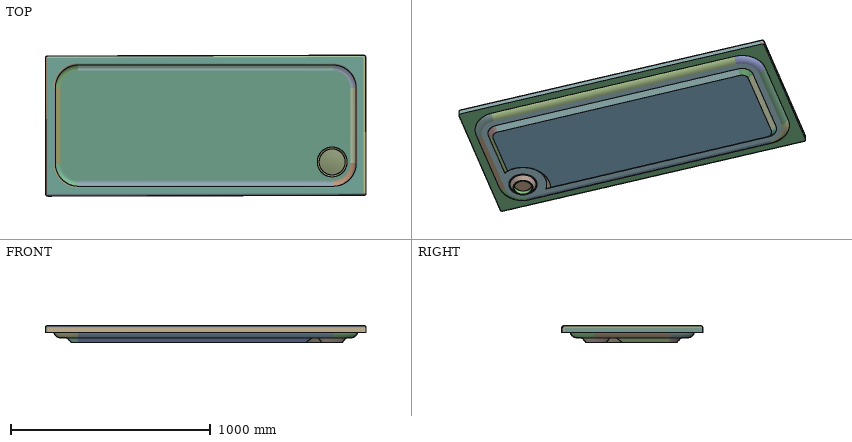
import cadquery as cq
import math

overall_length = 1605.0
overall_width = 707.0
overall_height = 85.0

rim_skew = 0.15
rim_height = 35.0
rim_edge_radius = 11.0
rim_bottom = overall_height - rim_height

opening_length = 1525.0
opening_width = 626.0
opening_corner_radius = 125.0
lip_radius = 10.0
wall_height = 16.0
cove_radius = 27.0
floor_level = overall_height - lip_radius - wall_height - cove_radius

shell_thickness = 8.0
bulge_inset = lip_radius - shell_thickness
bulge_radius = cove_radius + shell_thickness
bulge_bottom = floor_level - shell_thickness
foot_top_inset = 67.0
foot_taper = 45.0

drain_x = 633.0
drain_y = -181.0
drain_mouth_diameter = 150.0
cap_diameter = 130.0
outlet_diameter = 90.0
drain_mouth_depth = 3.0
cap_edge_thickness = 5.0
cap_rise = 8.0
cap_edge_level = floor_level - drain_mouth_depth
seat_level = cap_edge_level - cap_edge_thickness

recess_bottom_radius = 138.0
recess_top_radius = 119.0
cup_bottom_radius = 50.0
cup_top_radius = 70.0


def inset_slab(inset, bottom, height, taper=0.0):
    """Rounded slab whose outline is the basin opening moved inward by inset."""
    return (
        cq.Workplane("XY", origin=(0, 0, bottom))
        .sketch()
        .rect(opening_length - 2 * inset, opening_width - 2 * inset)
        .vertices()
        .fillet(opening_corner_radius - inset)
        .finalize()
        .extrude(height, taper=taper)
    )


def drain_cone(bottom_radius, bottom, top_radius, top):
    """Truncated cone (or cylinder, for equal radii) on the drain axis."""
    profile = [(0, bottom), (bottom_radius, bottom), (top_radius, top), (0, top)]
    return (
        cq.Workplane("XZ")
        .polyline(profile)
        .close()
        .revolve(360, (0, 0), (0, 1))
        .translate((drain_x, drain_y, 0))
    )


def make_rim():
    skew = math.radians(rim_skew)
    length = (overall_length * math.cos(skew) - overall_width * math.sin(skew)) / math.cos(2 * skew)
    width = (overall_width * math.cos(skew) - overall_length * math.sin(skew)) / math.cos(2 * skew)
    return (
        cq.Workplane("XY", origin=(0, 0, rim_bottom))
        .rect(length, width)
        .extrude(rim_height)
        .edges("|Z or >Z")
        .fillet(rim_edge_radius)
        .rotate((0, 0, 0), (0, 0, 1), rim_skew)
    )


def make_underside():
    bulge_height = overall_height - lip_radius - bulge_bottom
    bulge = inset_slab(bulge_inset, bulge_bottom, bulge_height).edges("<Z").fillet(bulge_radius)
    foot = inset_slab(foot_top_inset, bulge_bottom, -bulge_bottom, foot_taper)
    recess = drain_cone(recess_bottom_radius, 0, recess_top_radius, bulge_bottom)
    cup = drain_cone(cup_bottom_radius, 0, cup_top_radius, bulge_bottom)
    return bulge.union(foot.cut(recess)).union(cup)


def make_basin():
    return inset_slab(lip_radius, floor_level, overall_height - floor_level).edges("<Z").fillet(cove_radius)


def make_drain_opening():
    mouth = drain_cone(cap_diameter / 2, cap_edge_level, drain_mouth_diameter / 2, floor_level)
    seat = drain_cone(cap_diameter / 2, seat_level, cap_diameter / 2, cap_edge_level)
    outlet = drain_cone(outlet_diameter / 2, 0, outlet_diameter / 2, seat_level)
    return mouth.union(seat).union(outlet)


def make_tray():
    tray = make_rim().union(make_underside()).cut(make_basin())
    lip_edges = tray.faces(">Z").edges(
        cq.selectors.BoxSelector(
            (-opening_length / 2, -opening_width / 2, rim_bottom),
            (opening_length / 2, opening_width / 2, overall_height + lip_radius),
            boundingbox=True,
        )
    )
    return lip_edges.fillet(lip_radius).cut(make_drain_opening())


def make_drain_cap():
    """Disc with a shallow domed top, resting in the drain seat."""
    radius = cap_diameter / 2
    dome_radius = (radius**2 + cap_rise**2) / (2 * cap_rise)
    apex_level = cap_edge_level + cap_rise
    half_angle = math.asin(radius / dome_radius) / 2
    dome_middle = (
        dome_radius * math.sin(half_angle),
        apex_level - dome_radius * (1 - math.cos(half_angle)),
    )
    return (
        cq.Workplane("XZ")
        .moveTo(0, seat_level)
        .lineTo(radius, seat_level)
        .lineTo(radius, cap_edge_level)
        .threePointArc(dome_middle, (0, apex_level))
        .close()
        .revolve(360, (0, 0), (0, 1))
        .translate((drain_x, drain_y, 0))
    )


tray = make_tray()
drain_cap = make_drain_cap()
result = cq.Compound.makeCompound([tray.val(), drain_cap.val()])